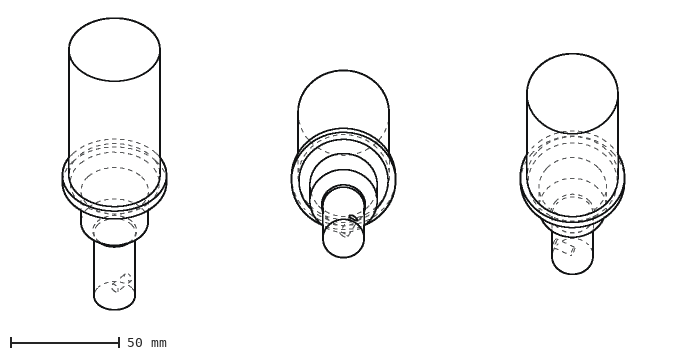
import cadquery as cq
import math

stem_diameter = 19.0
shoulder_diameter = 31.0
body_diameter = 42.0
flange_diameter = 48.0

shoulder_cone_base_height = 41.0
neck_setback = 0.83
shoulder_length = 20.0
flange_cone_height = 5.0
flange_thickness = 5.0
total_height = 157.0

screw_hole_diameter = 4.2
screw_hole_height = 5.0

stem_radius = stem_diameter / 2
shoulder_radius = shoulder_diameter / 2
body_radius = body_diameter / 2
flange_radius = flange_diameter / 2

shoulder_bottom = shoulder_cone_base_height + shoulder_radius - stem_radius

cone_setback = neck_setback * math.cos(math.radians(45))
stem_length = shoulder_cone_base_height - neck_setback
neck_top = shoulder_cone_base_height + cone_setback
neck_radius = stem_radius + cone_setback

shoulder_top = shoulder_bottom + shoulder_length
flange_bottom = shoulder_top + flange_cone_height
flange_cone_radius = shoulder_radius + flange_cone_height
flange_top = flange_bottom + flange_thickness


def turned_body():
    """Revolve the half profile (radius, height) about the Z axis."""
    return (
        cq.Workplane("XZ")
        .moveTo(0, 0)
        .lineTo(stem_radius, 0)
        .lineTo(stem_radius, stem_length)
        .lineTo(neck_radius, neck_top)
        .lineTo(shoulder_radius, shoulder_bottom)
        .lineTo(shoulder_radius, shoulder_top)
        .lineTo(flange_cone_radius, flange_bottom)
        .lineTo(flange_radius, flange_bottom)
        .lineTo(flange_radius, flange_top)
        .lineTo(body_radius, flange_top)
        .lineTo(body_radius, total_height)
        .lineTo(0, total_height)
        .close()
        .revolve(360, (0, 0, 0), (0, 1, 0))
    )


def screw_hole():
    """Radial hole from the stem axis out through the +Y side."""
    return (
        cq.Workplane("XZ", origin=(0, 0, screw_hole_height))
        .circle(screw_hole_diameter / 2)
        .extrude(-stem_diameter)
    )


result = turned_body().cut(screw_hole())